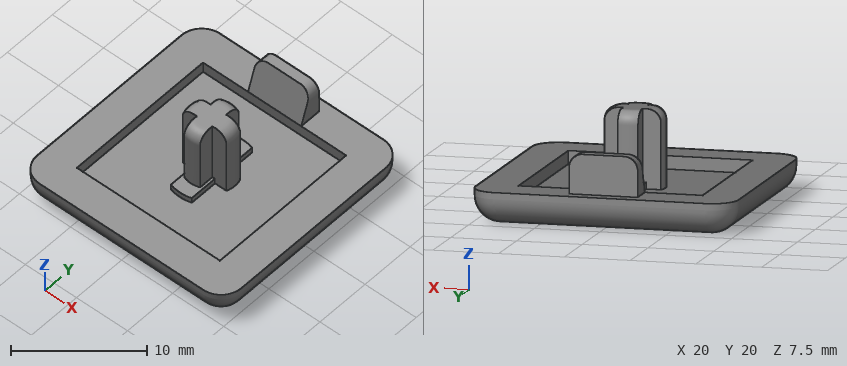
import cadquery as cq

plate_side = 20.0
plate_thickness = 2.5
plate_rounding = 2.0

pocket_side = 14.0
pocket_depth = 1.0

total_height = 7.5
stem_diameter = 4.55
stem_arm_width = 1.55
stem_top_rounding = 1.0
pad_diameter = 7.0
pad_width = 2.05
pad_thickness = 0.5

tab_width = 5.2
tab_height = 3.0
tab_edge_gap = 1.0
tab_top_depth = 0.95
tab_corner_radius = 1.0

pocket_floor = plate_thickness - pocket_depth


def make_plate():
    """Rounded square plate with a rounded underside and a square pocket."""
    plate = (
        cq.Workplane("XY")
        .rect(plate_side, plate_side)
        .extrude(plate_thickness)
        .edges("|Z")
        .fillet(plate_rounding)
        .faces("<Z")
        .edges()
        .fillet(plate_rounding)
    )
    pocket = (
        cq.Workplane("XY")
        .workplane(offset=pocket_floor)
        .rect(pocket_side, pocket_side)
        .extrude(pocket_depth)
    )
    return plate.cut(pocket)


def make_pad():
    """Strip along Y with ends that follow a circle about the stem axis."""
    base = cq.Workplane("XY").workplane(offset=pocket_floor)
    disc = base.circle(pad_diameter / 2).extrude(pad_thickness)
    strip = base.rect(pad_width, pad_diameter).extrude(pad_thickness)
    return disc.intersect(strip)


def make_stem():
    """Round-topped cylinder trimmed to a cross."""
    stem_height = total_height - pocket_floor
    base = cq.Workplane("XY").workplane(offset=pocket_floor)
    cylinder = (
        base.circle(stem_diameter / 2)
        .extrude(stem_height)
        .faces(">Z")
        .edges()
        .fillet(stem_top_rounding)
    )
    arm_x = base.rect(stem_diameter, stem_arm_width).extrude(stem_height)
    arm_y = base.rect(stem_arm_width, stem_diameter).extrude(stem_height)
    return cylinder.intersect(arm_x.union(arm_y))


def make_tab():
    """Upright tab with a sloping inner face and rounded top corners."""
    outer_y = plate_side / 2 - tab_edge_gap
    inner_y = pocket_side / 2
    tab_top = plate_thickness + tab_height
    wedge = (
        cq.Workplane("YZ")
        .moveTo(outer_y, pocket_floor)
        .lineTo(inner_y, pocket_floor)
        .lineTo(inner_y, plate_thickness)
        .lineTo(outer_y - tab_top_depth, tab_top)
        .lineTo(outer_y, tab_top)
        .close()
        .extrude(tab_width / 2, both=True)
    )
    outline = (
        cq.Workplane("XY")
        .box(tab_width, plate_side, tab_top, centered=(True, True, False))
        .edges("|Y and >Z")
        .fillet(tab_corner_radius)
    )
    return wedge.intersect(outline)


result = make_plate().union(make_pad()).union(make_stem()).union(make_tab())